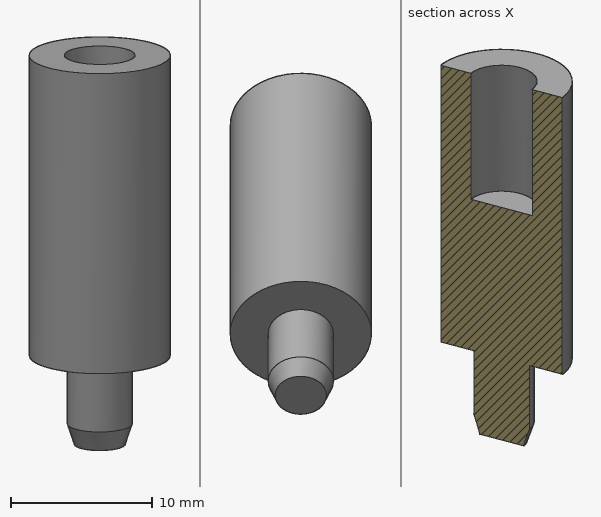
import cadquery as cq

body_diameter = 10.0
body_height = 22.0

bore_diameter = 5.0
bore_depth = 10.0

pin_diameter = 4.62
pin_straight_length = 5.0
tip_inset = 0.5
tip_length = 1.5


def make_body():
    """Plain cylinder with a blind bore opening at its top face."""
    body = cq.Workplane("XY").circle(body_diameter / 2).extrude(body_height)
    return body.faces(">Z").workplane().hole(bore_diameter, bore_depth)


def make_pin():
    """Pin revolved about Z from a half profile in the XZ plane."""
    tip_start_z = -pin_straight_length
    tip_end_z = tip_start_z - tip_length
    half_profile = [
        (0, 0),
        (pin_diameter / 2, 0),
        (pin_diameter / 2, tip_start_z),
        (pin_diameter / 2 - tip_inset, tip_end_z),
        (0, tip_end_z),
    ]
    return cq.Workplane("XZ").polyline(half_profile).close().revolve(360, (0, 0), (0, 1))


result = make_body().union(make_pin())